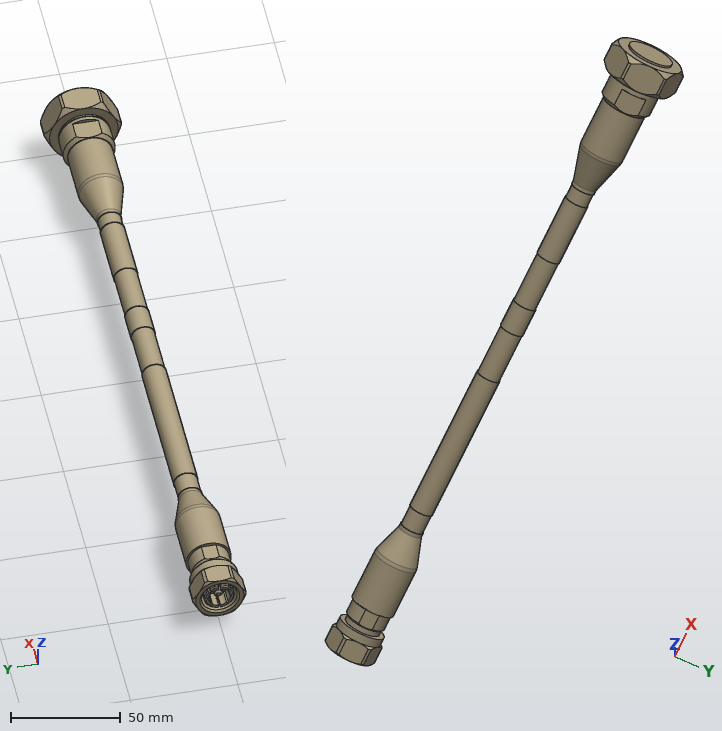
import cadquery as cq
import math


TOTAL_LENGTH = 319.2

CABLE_RADIUS = 5.5
MARKER_RADIUS = 5.7
MARKER_SPANS = [(76.3, 147.5), (172.0, 185.8), (210.7, 240.7)]

BOOT_RADIUS = 10.5
BOOT_TIP_RADIUS = 5.7
BOOT_TIP_LENGTH = 2.0
BOOT_SHOULDER_FILLET = 6.5

SMALL_NUT_FLATS = 22.5
SMALL_NUT_CORNERS = 25.0
SMALL_NUT_LENGTH = 10.0
SMALL_NUT_CHAMFER = 1.0
SMALL_COLLAR_END = 14.0
SMALL_NECK_RADIUS = 8.5
SMALL_BODY_START = 16.5
SMALL_BODY_RADIUS = 9.5
SMALL_BODY_CHAMFER = 1.0
SMALL_BODY_FLAT_HEIGHT = 9.0
SMALL_BOOT_START = 25.2
SMALL_BOOT_SHOULDER = 50.0
SMALL_BOOT_CONE_END = 64.8
SMALL_BOOT_END = SMALL_BOOT_CONE_END + BOOT_TIP_LENGTH

SOCKET_RADIUS = 8.3
SOCKET_CHAMFER = 1.0
SOCKET_DEPTH = 8.3
COLLET_OUTER_RADIUS = 7.0
COLLET_INNER_RADIUS = 5.0
COLLET_RECESS = 0.5
COLLET_CHAMFER = 0.5
COLLET_SLOT_COUNT = 8
COLLET_SLOT_WIDTH = 1.0
PIN_RADIUS = 2.0
PIN_RECESS = 2.5
PIN_CHAMFER = 1.0

LARGE_BOOT_CONE_START = 249.3
LARGE_BOOT_START = LARGE_BOOT_CONE_START - BOOT_TIP_LENGTH
LARGE_BOOT_SHOULDER = 266.5
LARGE_BODY_START = 291.0
LARGE_BODY_RADIUS = 12.0
LARGE_BODY_CHAMFER = 2.0
LARGE_BODY_FLAT_HEIGHT = 10.5
LARGE_BODY_FLAT_END = 301.5
LARGE_NECK_START = 303.5
LARGE_NECK_RADIUS = 11.8
LARGE_NUT_START = 305.0
LARGE_NUT_FLATS = 32.0
LARGE_NUT_CORNERS = 36.0
LARGE_NUT_CHAMFER = 2.5
END_RING_RADIUS = 11.0
END_RING_LENGTH = 1.0
LARGE_NUT_END = TOTAL_LENGTH - END_RING_LENGTH


def cylinder(start, end, radius):
    """Cylinder around the X axis from start to end."""
    return cq.Workplane("YZ").workplane(offset=start).circle(radius).extrude(end - start)


def tube(start, end, outer_radius, inner_radius):
    """Hollow cylinder around the X axis from start to end."""
    return cylinder(start, end, outer_radius).cut(cylinder(start, end, inner_radius))


def revolve_profile(points):
    """Solid of revolution around the X axis from (x, radius) points."""
    first_x = points[0][0]
    last_x = points[-1][0]
    outline = [(first_x, 0), *points, (last_x, 0)]
    return cq.Workplane("XY").polyline(outline).close().revolve(360, (0, 0, 0), (1, 0, 0))


def hex_nut(start, end, flats, corners, chamfer):
    """Hexagonal nut with flats facing +Z and -Z, trimmed corners and chamfered ends."""
    hexagon_diameter = flats / math.cos(math.pi / 6)
    prism = cq.Workplane("YZ").workplane(offset=start).polygon(6, hexagon_diameter).extrude(end - start)
    envelope = revolve_profile([
        (start, flats / 2),
        (start + chamfer, corners / 2),
        (end - chamfer, corners / 2),
        (end, flats / 2),
    ])
    return prism.intersect(envelope)


def cut_wrench_flats(body, start, end, flat_height, body_radius):
    """Cut two flats, facing +Z and -Z, between start and end."""
    cut_height = body_radius - flat_height
    for side in (1, -1):
        cutter = cq.Workplane("XY").box(end - start, 2 * body_radius, cut_height).translate(
            ((start + end) / 2, 0, side * (flat_height + cut_height / 2))
        )
        body = body.cut(cutter)
    return body


def round_shoulder(boot, shoulder):
    """Round the edge where the boot's cylinder meets its cone."""
    reach = 0.3
    edge_box = cq.selectors.BoxSelector(
        (shoulder - reach, -BOOT_RADIUS - reach, -BOOT_RADIUS - reach),
        (shoulder + reach, BOOT_RADIUS + reach, BOOT_RADIUS + reach),
        boundingbox=True,
    )
    return boot.edges(edge_box).fillet(BOOT_SHOULDER_FILLET)


def make_small_boot():
    boot = revolve_profile([
        (SMALL_BOOT_START, BOOT_RADIUS),
        (SMALL_BOOT_SHOULDER, BOOT_RADIUS),
        (SMALL_BOOT_CONE_END, BOOT_TIP_RADIUS),
        (SMALL_BOOT_END, BOOT_TIP_RADIUS),
    ])
    return round_shoulder(boot, SMALL_BOOT_SHOULDER)


def make_large_boot():
    boot = revolve_profile([
        (LARGE_BOOT_START, BOOT_TIP_RADIUS),
        (LARGE_BOOT_CONE_START, BOOT_TIP_RADIUS),
        (LARGE_BOOT_SHOULDER, BOOT_RADIUS),
        (LARGE_BODY_START, BOOT_RADIUS),
    ])
    return round_shoulder(boot, LARGE_BOOT_SHOULDER)


def make_collet():
    """Slotted ring contact standing on the socket floor, with a chamfered outer rim."""
    collet = revolve_profile([
        (COLLET_RECESS, COLLET_OUTER_RADIUS - COLLET_CHAMFER),
        (COLLET_RECESS + COLLET_CHAMFER, COLLET_OUTER_RADIUS),
        (SOCKET_DEPTH, COLLET_OUTER_RADIUS),
    ])
    collet = collet.cut(cylinder(COLLET_RECESS, SOCKET_DEPTH, COLLET_INNER_RADIUS))
    slot_length = SOCKET_DEPTH - COLLET_RECESS
    slot_center_x = (SOCKET_DEPTH + COLLET_RECESS) / 2
    for index in range(COLLET_SLOT_COUNT):
        slot = (
            cq.Workplane("XY")
            .box(slot_length, COLLET_OUTER_RADIUS, COLLET_SLOT_WIDTH)
            .translate((slot_center_x, COLLET_INNER_RADIUS, 0))
            .rotate((0, 0, 0), (1, 0, 0), index * 360 / COLLET_SLOT_COUNT)
        )
        collet = collet.cut(slot)
    return collet


def make_small_plug():
    nut = hex_nut(0, SMALL_NUT_LENGTH, SMALL_NUT_FLATS, SMALL_NUT_CORNERS, SMALL_NUT_CHAMFER)
    collar = cylinder(SMALL_NUT_LENGTH, SMALL_COLLAR_END, SMALL_NUT_FLATS / 2)
    neck = cylinder(SMALL_COLLAR_END, SMALL_BODY_START, SMALL_NECK_RADIUS)
    body = revolve_profile([
        (SMALL_BODY_START, SMALL_BODY_RADIUS - SMALL_BODY_CHAMFER),
        (SMALL_BODY_START + SMALL_BODY_CHAMFER, SMALL_BODY_RADIUS),
        (SMALL_BOOT_START, SMALL_BODY_RADIUS),
    ])
    body = cut_wrench_flats(
        body, SMALL_BODY_START, SMALL_BOOT_START, SMALL_BODY_FLAT_HEIGHT, SMALL_BODY_RADIUS
    )
    socket = revolve_profile([
        (0, SOCKET_RADIUS + SOCKET_CHAMFER),
        (SOCKET_CHAMFER, SOCKET_RADIUS),
        (SOCKET_DEPTH, SOCKET_RADIUS),
    ])
    pin = revolve_profile([
        (PIN_RECESS, PIN_RADIUS - PIN_CHAMFER),
        (PIN_RECESS + PIN_CHAMFER, PIN_RADIUS),
        (SOCKET_DEPTH, PIN_RADIUS),
    ])
    plug = nut.union(collar).cut(socket).union(make_collet()).union(pin)
    return plug.union(neck).union(body).union(make_small_boot())


def make_large_plug():
    body = revolve_profile([
        (LARGE_BODY_START, LARGE_BODY_RADIUS - LARGE_BODY_CHAMFER),
        (LARGE_BODY_START + LARGE_BODY_CHAMFER, LARGE_BODY_RADIUS),
        (LARGE_NECK_START, LARGE_BODY_RADIUS),
        (LARGE_NECK_START, LARGE_NECK_RADIUS),
        (LARGE_NUT_START, LARGE_NECK_RADIUS),
    ])
    body = cut_wrench_flats(
        body, LARGE_BODY_START, LARGE_BODY_FLAT_END, LARGE_BODY_FLAT_HEIGHT, LARGE_BODY_RADIUS
    )
    nut = hex_nut(LARGE_NUT_START, LARGE_NUT_END, LARGE_NUT_FLATS, LARGE_NUT_CORNERS, LARGE_NUT_CHAMFER)
    end_ring = cylinder(LARGE_NUT_END, TOTAL_LENGTH, END_RING_RADIUS)
    return make_large_boot().union(body).union(nut).union(end_ring)


def make_cable():
    return cylinder(SMALL_BOOT_END, LARGE_BOOT_START, CABLE_RADIUS)


def make_marker(start, end):
    return tube(start, end, MARKER_RADIUS, CABLE_RADIUS)


small_plug = make_small_plug()
large_plug = make_large_plug()
cable = make_cable()
markers = [make_marker(start, end) for start, end in MARKER_SPANS]

result = cq.Compound.makeCompound([
    small_plug.val(),
    large_plug.val(),
    cable.val(),
    *[marker.val() for marker in markers],
])